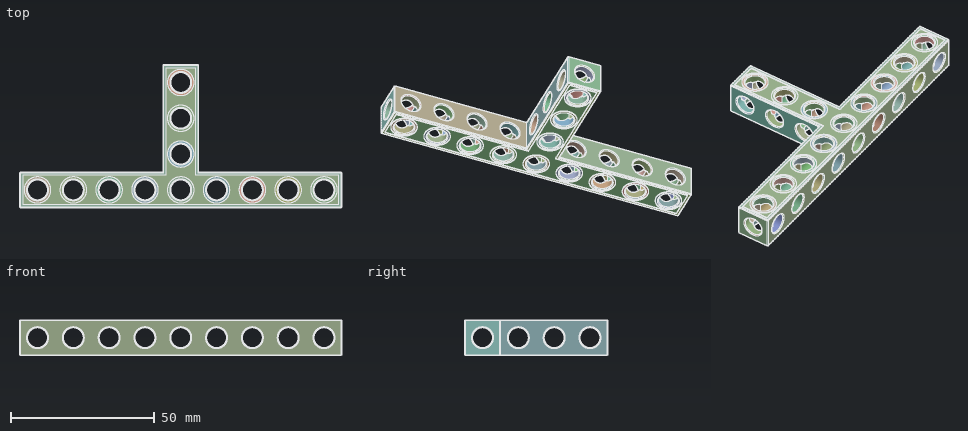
import cadquery as cq
length = 112.5
bar_cells = 9
stem_cells = 3
pitch = length / bar_cells
hole_diameter = 7.0
mouth_chamfer = 0.3
edge_chamfer = 0.28

rim_width = 1.1
recess_depth = 0.2
collar_diameter = 9.2

stem_length = stem_cells * pitch
stem_end = pitch / 2 + stem_length
half_height = pitch / 2
stem_places = [row * pitch for row in range(1, stem_cells + 1)]
bar_places = [(column - (bar_cells - 1) / 2) * pitch for column in range(bar_cells)]
cell_centers = [(x, 0) for x in bar_places] + [(0, y) for y in stem_places]


def tee(inset, bottom, height):
    """T-shaped slab whose outline is moved inward by the inset."""
    width = pitch - 2 * inset
    base = cq.Workplane("XY").workplane(offset=bottom)
    bar = base.rect(length - 2 * inset, width).extrude(height)
    stem = base.center(0, (stem_end - inset) / 2).rect(width, stem_end - inset).extrude(height)
    return bar.union(stem).clean()


def recess(bottom):
    """Recess cutter with the hole collars left standing."""
    collars = (
        cq.Workplane("XY").workplane(offset=bottom)
        .pushPoints(cell_centers).circle(collar_diameter / 2).extrude(recess_depth)
    )
    return tee(rim_width, bottom, recess_depth).cut(collars)


def bore(plane, x, y, start, end):
    """Round hole along the plane normal, with a countersunk mouth at both ends."""
    radius = hole_diameter / 2
    mouth_radius = radius + mouth_chamfer
    profile = [
        (0, start),
        (mouth_radius, start),
        (radius, start + mouth_chamfer),
        (radius, end - mouth_chamfer),
        (mouth_radius, end),
        (0, end),
    ]
    hole = cq.Workplane("XZ").polyline(profile).close().revolve(360, (0, 0), (0, 1)).val()
    placed_hole = hole.moved(cq.Plane.named(plane, (0, 0, 0)).location)
    return cq.Workplane("XY").newObject([placed_hole]).translate((x, y, 0))


body = tee(0, -half_height, pitch)
inner_corners = cq.selectors.BoxSelector((-pitch, 0, -1.1), (pitch, pitch, 1.1))
all_edges = cq.selectors.StringSyntaxSelector("%LINE")
outer_edges = body.edges(cq.selectors.SubtractSelector(all_edges, inner_corners))
body = outer_edges.chamfer(edge_chamfer)

for recess_bottom in (half_height - recess_depth, -half_height):
    body = body.cut(recess(recess_bottom))

for x, y in cell_centers:
    body = body.cut(bore("XY", x, y, -half_height, half_height))

for x in bar_places:
    far_end = stem_end if x == 0 else half_height
    body = body.cut(bore("ZX", x, 0, -half_height, far_end))

for y in stem_places:
    body = body.cut(bore("YZ", 0, y, -half_height, half_height))

body = body.cut(bore("YZ", 0, 0, -length / 2, length / 2))

result = body